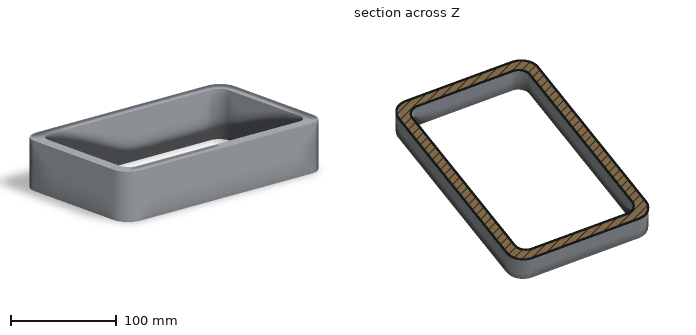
import cadquery as cq

LENGTH_X = 150.0
LENGTH_Y = 250.0
HEIGHT = 50.0

WALL = 12.0
OUTER_RADIUS = 18.0
INNER_RADIUS = 12.0


def rounded_block(size_x, size_y, corner_radius):
    """Block standing on the XY plane with rounded vertical edges."""
    block = cq.Workplane("XY").rect(size_x, size_y).extrude(HEIGHT)
    return block.edges("|Z").fillet(corner_radius)


outer_body = rounded_block(LENGTH_X, LENGTH_Y, OUTER_RADIUS)
opening = rounded_block(LENGTH_X - 2 * WALL, LENGTH_Y - 2 * WALL, INNER_RADIUS)

result = outer_body.cut(opening)